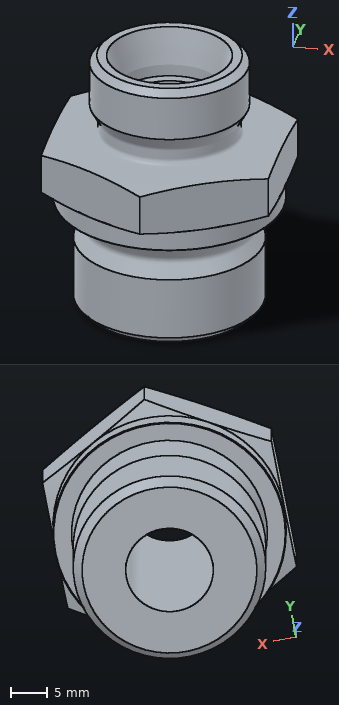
import cadquery as cq
import math

TOTAL_HEIGHT = 38.0
FLANGE_BOTTOM = 16.05
HEX_BOTTOM = 19.0
HEX_TOP = 26.03

HEX_ACROSS_FLATS = 32.0
HEX_CHAMFER_ANGLE = 15.0

FLANGE_RADIUS = HEX_ACROSS_FLATS / 2
FLANGE_CHAMFER = 0.1

STUD_RADIUS = 26.4 / 2
STUD_CHAMFER = 1.2
STUD_SHOULDER = 10.15
STUD_GROOVE_START = 11.97
STUD_GROOVE_END = 13.05
STUD_GROOVE_ANGLE = 30.0
STUD_CONE_ANGLE = 24.0

TOP_RADIUS = 22.0 / 2
TOP_CHAMFER = 1.03
NECK_RADIUS = 19.7 / 2
NECK_FILLET = 1.0
TOP_GROOVE_ANGLE = 30.0
TOP_SHOULDER = 30.63

BORE_RADIUS = 12.0 / 2
SOCKET_RADIUS = 15.0 / 2
SOCKET_DEPTH = 7.0
MOUTH_RADIUS = 8.63
MOUTH_HALF_ANGLE = 12.0


def tan_deg(angle):
    return math.tan(math.radians(angle))


def sin_deg(angle):
    return math.sin(math.radians(angle))


def cos_deg(angle):
    return math.cos(math.radians(angle))


def arc_point(center, radius, angle):
    """Point at an angle from the +X direction on an arc in the profile plane."""
    return (center[0] + radius * cos_deg(angle), center[1] + radius * sin_deg(angle))


def make_lower_stud():
    """Lower stud with its rounded V groove, and the flange above it."""
    groove_start_radius = STUD_RADIUS - (STUD_GROOVE_START - STUD_SHOULDER) * tan_deg(STUD_GROOVE_ANGLE)

    floor_height = STUD_GROOVE_END - STUD_GROOVE_START
    floor_radius = floor_height / (sin_deg(STUD_GROOVE_ANGLE) + sin_deg(STUD_CONE_ANGLE))
    floor_center = (
        groove_start_radius + floor_radius * cos_deg(STUD_GROOVE_ANGLE),
        STUD_GROOVE_START + floor_radius * sin_deg(STUD_GROOVE_ANGLE),
    )
    floor_middle = arc_point(floor_center, floor_radius, 180)
    floor_end = arc_point(floor_center, floor_radius, 180 - STUD_CONE_ANGLE)
    cone_radius = floor_end[0] + (FLANGE_BOTTOM - STUD_GROOVE_END) * tan_deg(STUD_CONE_ANGLE)

    profile = (
        cq.Workplane("XZ")
        .lineTo(STUD_RADIUS - STUD_CHAMFER, 0)
        .lineTo(STUD_RADIUS, STUD_CHAMFER)
        .lineTo(STUD_RADIUS, STUD_SHOULDER)
        .lineTo(groove_start_radius, STUD_GROOVE_START)
        .threePointArc(floor_middle, floor_end)
        .lineTo(cone_radius, FLANGE_BOTTOM)
        .lineTo(FLANGE_RADIUS - FLANGE_CHAMFER, FLANGE_BOTTOM)
        .lineTo(FLANGE_RADIUS, FLANGE_BOTTOM + FLANGE_CHAMFER)
        .lineTo(FLANGE_RADIUS, HEX_BOTTOM)
        .lineTo(0, HEX_BOTTOM)
        .close()
    )
    return profile.revolve(360, (0, 0), (0, 1))


def make_hexagon():
    """Hexagon with corners on the Y axis, chamfered conically at both ends."""
    corner_radius = HEX_ACROSS_FLATS / 2 / cos_deg(30)
    flat_radius = HEX_ACROSS_FLATS / 2
    chamfer_drop = (corner_radius - flat_radius) * tan_deg(HEX_CHAMFER_ANGLE)
    prism = (
        cq.Workplane("XY", origin=(0, 0, HEX_BOTTOM))
        .polygon(6, 2 * corner_radius)
        .extrude(HEX_TOP - HEX_BOTTOM)
        .rotate((0, 0, 0), (0, 0, 1), 30)
    )
    envelope = (
        cq.Workplane("XZ")
        .moveTo(0, HEX_BOTTOM)
        .lineTo(flat_radius, HEX_BOTTOM)
        .lineTo(corner_radius, HEX_BOTTOM + chamfer_drop)
        .lineTo(corner_radius, HEX_TOP - chamfer_drop)
        .lineTo(flat_radius, HEX_TOP)
        .lineTo(0, HEX_TOP)
        .close()
        .revolve(360, (0, 0), (0, 1))
    )
    return prism.intersect(envelope)


def make_upper_stud():
    """Upper stud with a necked groove rounded at both ends."""
    fillet_center_radius = NECK_RADIUS + NECK_FILLET
    lower_center = (fillet_center_radius, HEX_TOP + NECK_FILLET)
    lower_middle = arc_point(lower_center, NECK_FILLET, 225)

    blend_radius = arc_point((fillet_center_radius, 0), NECK_FILLET, 180 - TOP_GROOVE_ANGLE)[0]
    blend_end = TOP_SHOULDER - (TOP_RADIUS - blend_radius) / tan_deg(TOP_GROOVE_ANGLE)
    blend_start = blend_end - NECK_FILLET * sin_deg(TOP_GROOVE_ANGLE)
    blend_middle = arc_point((fillet_center_radius, blend_start), NECK_FILLET, 180 - TOP_GROOVE_ANGLE / 2)

    profile = (
        cq.Workplane("XZ")
        .moveTo(0, HEX_TOP)
        .lineTo(fillet_center_radius, HEX_TOP)
        .threePointArc(lower_middle, (NECK_RADIUS, lower_center[1]))
        .lineTo(NECK_RADIUS, blend_start)
        .threePointArc(blend_middle, (blend_radius, blend_end))
        .lineTo(TOP_RADIUS, TOP_SHOULDER)
        .lineTo(TOP_RADIUS, TOTAL_HEIGHT - TOP_CHAMFER)
        .lineTo(TOP_RADIUS - TOP_CHAMFER, TOTAL_HEIGHT)
        .lineTo(0, TOTAL_HEIGHT)
        .close()
    )
    return profile.revolve(360, (0, 0), (0, 1))


def make_bore():
    """Through bore, wider socket and conical mouth at the top."""
    mouth_depth = (MOUTH_RADIUS - SOCKET_RADIUS) / tan_deg(MOUTH_HALF_ANGLE)
    profile = (
        cq.Workplane("XZ")
        .lineTo(BORE_RADIUS, 0)
        .lineTo(BORE_RADIUS, TOTAL_HEIGHT - SOCKET_DEPTH)
        .lineTo(SOCKET_RADIUS, TOTAL_HEIGHT - SOCKET_DEPTH)
        .lineTo(SOCKET_RADIUS, TOTAL_HEIGHT - mouth_depth)
        .lineTo(MOUTH_RADIUS, TOTAL_HEIGHT)
        .lineTo(0, TOTAL_HEIGHT)
        .close()
    )
    return profile.revolve(360, (0, 0), (0, 1))


body = make_lower_stud().union(make_hexagon()).union(make_upper_stud())
result = body.cut(make_bore())